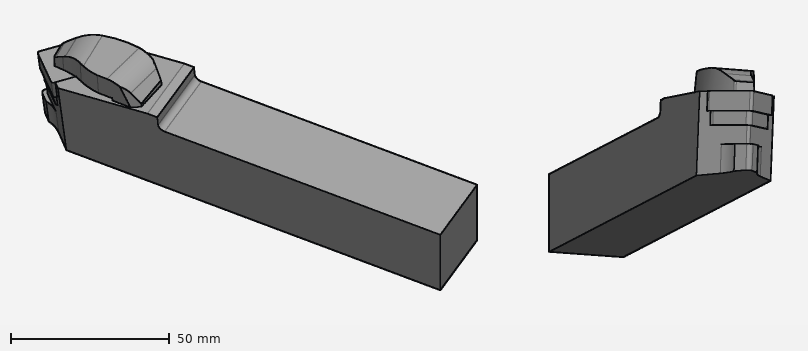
import cadquery as cq
import math

length = 149.7
shank = 25.0
half_width = shank / 2
rake = 6.5
tan_rake = math.tan(math.radians(rake))
reach = 59.9

head_front = 45.4
head_back = 49.0
head_top = shank + head_front * tan_rake
step_foot = 49.4
step_radius = 2.2

insert_side = 15.9
insert_radius = 0.9
insert_thickness = 6.3
plate_side = 14.5
plate_radius = 1.5
plate_thickness = 4.5
corner_setback = math.sqrt(2) - 1
insert_center = insert_side / math.sqrt(2) - insert_radius * corner_setback

nose_tip = 1.2
nose_radius = 0.9
pad_tip = -0.9
pad_radius = 1.5
pad_top_depth = 16.8
pad_flank_end = 3.9
pad_blend_end = 6.7
pad_overlap = 1.5

clamp_left_front = (7.0, 3.3)
clamp_right_front = (7.6, -3.7)
clamp_hollow_start = (11.4, -4.3)
clamp_hollow_end = (19.3, -7.41)
clamp_bulge_end = (27.2, -10.6)
clamp_right_rear = (42.2, -12.3)
clamp_left_rear = (43.7, 1.2)
clamp_bow_end = (39.8, 4.8)
clamp_bow_middle = (24.0, 7.6)
clamp_corner_radius = 0.6
clamp_draft = 3.5

clamp_height = 8.2
clamp_front_turn = 4.0
front_face_top = (7.2, 3.1)
front_chamfer_top = (8.2, 3.9)
front_arc_start = (12.1, 6.0)
front_arc_end = (20.7, clamp_height)
clamp_rear_turn = -9.5
rear_arc_start = (32.3, clamp_height)
rear_arc_end = (40.3, 4.8)
rear_slope_foot = (44.3, 0)

facet_point = (39.0, -12.1, 0)
facet_normal = (0.65, -1.27, 0.46)

relief_front = 14.2
relief_full = 23.2
relief_back = 32.5
relief_height = 0.9


def seat_plane(depth=0.0):
    """Plane parallel to the tilted top of the insert, a given depth below it."""
    angle = math.radians(rake)
    normal = cq.Vector(-math.sin(angle), 0, math.cos(angle))
    along = cq.Vector(math.cos(angle), 0, math.sin(angle))
    return cq.Plane(cq.Vector(0, 0, shank) - normal * depth, along, normal)


along_seat_normal = cq.selectors.ParallelDirSelector(seat_plane().zDir)


def corner_square(side, radius, depth, thickness):
    """Rounded square plate standing on its corner, its top a given depth below the insert top."""
    return (
        cq.Workplane(seat_plane(depth + thickness))
        .center(insert_center, 0)
        .transformed(rotate=(0, 0, 45))
        .rect(side, side)
        .extrude(thickness)
        .edges(along_seat_normal)
        .fillet(radius)
    )


def make_shank():
    """Bar with a raised head, its pointed nose square to the tilted seat."""
    bar = (
        cq.Workplane("XZ")
        .moveTo(-reach, 0)
        .lineTo(length, 0)
        .lineTo(length, shank)
        .lineTo(step_foot, shank)
        .lineTo(head_back, head_top)
        .lineTo(head_front, head_top)
        .lineTo(-reach, shank - reach * tan_rake)
        .close()
        .extrude(half_width, both=True)
        .edges(cq.selectors.NearestToPointSelector((step_foot, 0, shank)))
        .fillet(step_radius)
    )
    nose = (
        cq.Workplane(seat_plane(reach))
        .moveTo(nose_tip, 0)
        .lineTo(nose_tip + reach, reach)
        .lineTo(2 * length, reach)
        .lineTo(2 * length, -reach)
        .lineTo(nose_tip + reach, -reach)
        .close()
        .extrude(2 * reach)
        .edges(along_seat_normal)
        .edges("<X")
        .fillet(nose_radius)
    )
    return bar.intersect(nose)


def make_pad():
    """Pad at the foot of the nose, blending into both flanks with hollow arcs."""
    blend_end_x = nose_tip + pad_blend_end
    half = (
        cq.Workplane(seat_plane(reach))
        .moveTo(blend_end_x + pad_overlap, 0)
        .lineTo(blend_end_x + pad_overlap, pad_blend_end + pad_overlap)
        .lineTo(blend_end_x, pad_blend_end)
        .tangentArcPoint((pad_tip + pad_flank_end, pad_flank_end), relative=False)
        .lineTo(pad_tip, 0)
        .close()
        .extrude(reach - pad_top_depth)
    )
    pad = (
        half.union(half.mirror("XZ"))
        .edges(along_seat_normal)
        .edges("<X")
        .fillet(pad_radius)
    )
    above_base = cq.Workplane("XY").box(length, shank, shank, centered=(True, True, False))
    return pad.intersect(above_base)


def clamp_section(turn):
    """Upright section along the clamp, turned about the seat normal; local Y is height above the seat."""
    return cq.Workplane(seat_plane().rotated((0, 0, turn)).rotated((90, 0, 0)))


def make_clamp_block():
    """Drafted block with a bowed left wall and an S-shaped right wall."""
    return (
        cq.Workplane(seat_plane())
        .moveTo(*clamp_left_front)
        .lineTo(*clamp_right_front)
        .lineTo(*clamp_hollow_start)
        .tangentArcPoint(clamp_hollow_end, relative=False)
        .tangentArcPoint(clamp_bulge_end, relative=False)
        .lineTo(*clamp_right_rear)
        .lineTo(*clamp_left_rear)
        .lineTo(*clamp_bow_end)
        .threePointArc(clamp_bow_middle, clamp_left_front)
        .close()
        .extrude(clamp_height, taper=clamp_draft)
        .faces("<X")
        .edges("<Y or >Y")
        .fillet(clamp_corner_radius)
    )


def make_clamp_front():
    """Prism that shapes the clamp's chamfered, rounded front."""
    return (
        clamp_section(clamp_front_turn)
        .moveTo(0, 0)
        .lineTo(*front_face_top)
        .lineTo(*front_chamfer_top)
        .lineTo(*front_arc_start)
        .tangentArcPoint(front_arc_end, relative=False)
        .lineTo(reach, clamp_height)
        .lineTo(reach, 0)
        .close()
        .extrude(reach / 2, both=True)
    )


def make_clamp_rear():
    """Prism that shapes the clamp's skewed rear slope."""
    return (
        clamp_section(clamp_rear_turn)
        .moveTo(0, 0)
        .lineTo(0, clamp_height)
        .lineTo(*rear_arc_start)
        .tangentArcPoint(rear_arc_end, relative=False)
        .lineTo(*rear_slope_foot)
        .close()
        .extrude(reach / 2, both=True)
    )


def make_clamp_relief():
    """Shallow hollow across the underside of the clamp."""
    return (
        clamp_section(0)
        .moveTo(relief_front, 0)
        .lineTo(relief_full, relief_height)
        .lineTo(relief_back, relief_height)
        .lineTo(relief_back, 0)
        .close()
        .extrude(reach / 2, both=True)
    )


def make_facet_cutter():
    """Block beyond the slanted facet on the clamp's rear right corner."""
    seat = seat_plane()
    normal = seat.toWorldCoords(facet_normal) - seat.origin
    facet_plane = cq.Plane(seat.toWorldCoords(facet_point), normal=normal)
    return cq.Workplane(facet_plane).rect(reach, reach).extrude(reach)


def make_clamp():
    """Finger clamp that presses on the insert and is one piece with the holder."""
    clamp = make_clamp_block().intersect(make_clamp_front()).intersect(make_clamp_rear())
    return clamp.cut(make_clamp_relief()).cut(make_facet_cutter())


def make_holder(insert):
    """Shank with the insert's pocket, the seat plate under it, the pad and the clamp."""
    plate = corner_square(plate_side, plate_radius, insert_thickness, plate_thickness)
    return make_shank().cut(insert).union(plate).union(make_pad()).union(make_clamp())


insert = corner_square(insert_side, insert_radius, 0, insert_thickness)
holder = make_holder(insert)
result = cq.Compound.makeCompound([holder.solids().val(), insert.val()])